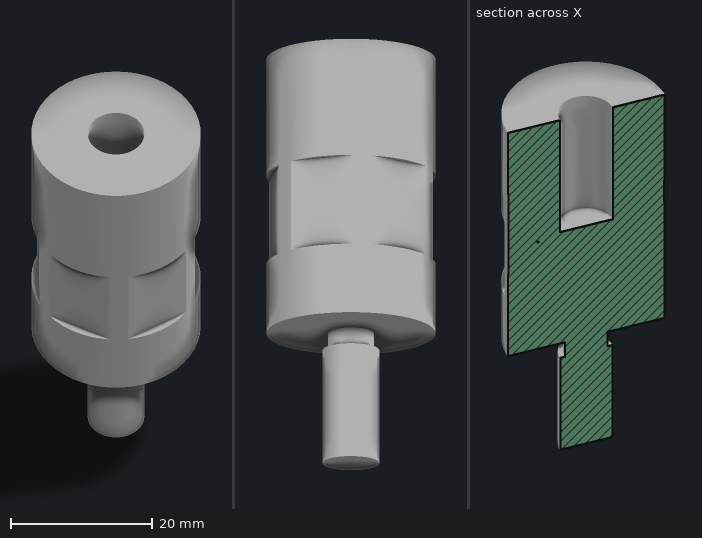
import cadquery as cq

total_height = 59.0
body_height = 40.0
body_diameter = 24.0
body_bottom = total_height - body_height

stud_diameter = 8.0
neck_diameter = 6.55
neck_height = 2.5
stud_height = body_bottom - neck_height

flat_count = 6
across_flats = 22.0
flats_height = 13.0
flats_offset = 10.05
flats_bottom = body_bottom + flats_offset

bore_diameter = stud_diameter
bore_depth = body_height / 2


def cylinder(diameter, bottom, height):
    """Upright cylinder on the part axis."""
    return cq.Workplane("XY").workplane(offset=bottom).circle(diameter / 2).extrude(height)


def wrench_flat_cutter(angle):
    """Block whose inner face is one wrench flat, turned about the part axis."""
    block = cq.Workplane("XY").box(
        body_diameter, body_diameter, flats_height, centered=(False, True, False)
    )
    return block.translate((across_flats / 2, 0, flats_bottom)).rotate((0, 0, 0), (0, 0, 1), angle)


stud = cylinder(stud_diameter, 0, stud_height)
neck = cylinder(neck_diameter, stud_height, neck_height)
body = cylinder(body_diameter, body_bottom, body_height)

for index in range(flat_count):
    body = body.cut(wrench_flat_cutter(index * 360 / flat_count))

bore = cylinder(bore_diameter, total_height - bore_depth, bore_depth)

result = body.cut(bore).union(neck).union(stud)